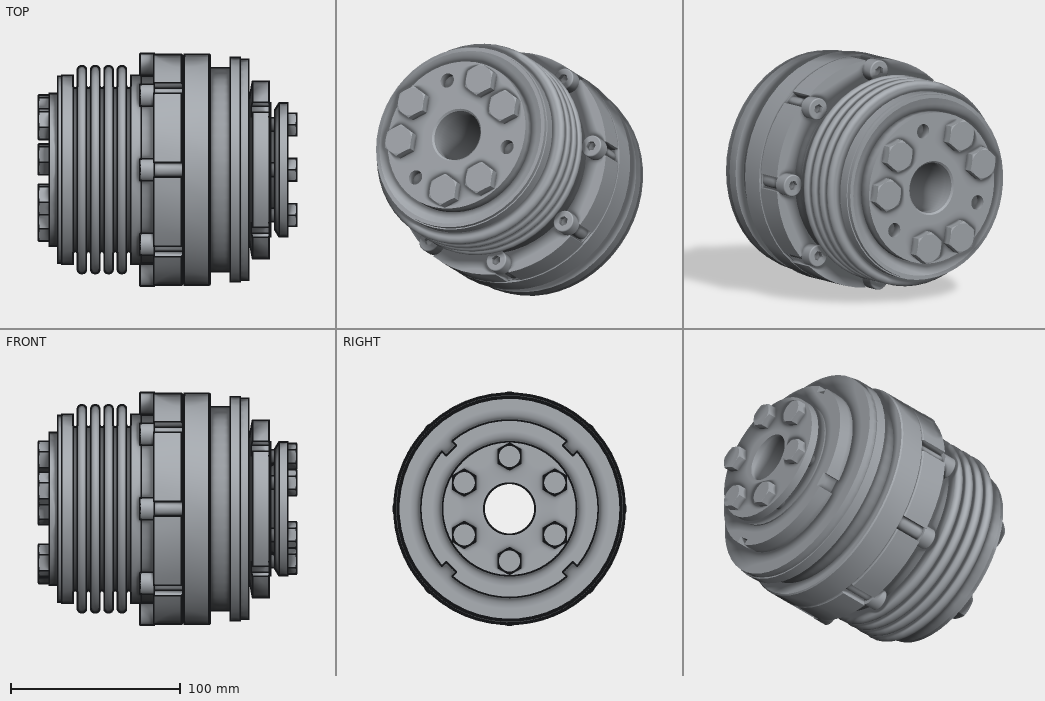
import cadquery as cq
import math


hub_plate_start = 6.4
end_ring_start = 11.4
end_ring_shoulder = 14.0
bellows_start = 20.5
bellows_end = 54.5
mount_ring_step = 60.5
body_start = 67.9
body_end = 85.1
pressure_ring_start = 86.0
pressure_ring_end = 101.2
flange_start = 113.0
flange_step = 119.0
flange_end = 124.0
nut_rim_start = 126.2
nut_end = 135.9
nut_face_end = 136.8
clamp_disc_start = 139.1
clamp_cone_end = 141.9
clamp_disc_end = 146.9
overall_length = 152.2

bore_radius = 30.0 / 2
bore_chamfer = 1.0
hub_plate_radius = 90.0 / 2
recess_mouth_radius = 52.8
recess_floor_start = 14.5
end_ring_front_radius = 110.0 / 2
end_ring_radius = 55.7
mount_ring_radius = 55.7
mount_ring_step_radius = 55.1
body_radius = 68.0
edge_chamfer = 0.8
gap_radius = 66.7
bearing_radius = 60.1
flange_radius = 66.0
flange_step_radius = 65.1
nut_cone_radius = 82.8 / 2
nut_radius = 52.2
nut_face_radius = 39.4
neck_radius = 25.5
neck_fillet = clamp_disc_start - nut_face_end
clamp_cone_radius = 70 / 2
clamp_disc_radius = 39.4

fold_count = 4
fold_width = 5.3
fold_tip_radius = 61.2
valley_bottom_radius = 48.1
valley_width = (bellows_end - bellows_start - fold_count * fold_width) / (fold_count + 1)

hub_bolt_circle_radius = 70 / 2
hub_position_count = 9
hub_hole_every = 3
hub_first_hole_angle = 80
hub_bolt_across_corners = 19.3
hub_bolt_hex_angle = 40
hub_hole_diameter = 8.7
hub_hole_depth = 6.1

socket_screw_count = 8
head_diameter = 13.0
head_start = 59.8
head_fillet = 0.8
socket_circle_radius = 68.5 - head_diameter / 2
socket_across_corners = 6.1
socket_depth = 3
socket_drill_depth = 1.8
shank_diameter = 8.0
body_slot_width = 8.7

nut_slot_count = 4
nut_slot_width = 8.5
nut_slot_floor_radius = 48.4

clamp_bolt_count = 6
clamp_bolt_circle_radius = 30.7
clamp_bolt_across_corners = 15.5
clamp_bolt_first_angle = 30

overlap = 0.3


def polar(radius, angle):
    """(Y, Z) point at a radius and an angle in degrees measured from +Y towards +Z."""
    turn = math.radians(angle)
    return radius * math.cos(turn), radius * math.sin(turn)


def axial_plane(x, angle=0):
    """Plane normal to +X at station x, whose local axes are Y and Z turned by an angle."""
    turn = math.radians(angle)
    return cq.Plane(origin=(x, 0, 0), xDir=(0, math.cos(turn), math.sin(turn)), normal=(1, 0, 0))


def cylinder(start, end, radius, center=(0, 0)):
    return cq.Workplane(axial_plane(start)).center(*center).circle(radius).extrude(end - start)


def revolve(profile):
    return profile.close().revolve(360, (0, 0, 0), (1, 0, 0))


def turned_core():
    """All turned parts as one stack, with the bellows folds between the two end rings."""
    half_fold = fold_width / 2
    half_valley = valley_width / 2
    valley_edge = valley_bottom_radius + half_valley
    crest_edge = fold_tip_radius - half_fold

    profile = (
        cq.Workplane("XY")
        .moveTo(hub_plate_start, 0)
        .lineTo(hub_plate_start, hub_plate_radius)
        .lineTo(recess_floor_start, hub_plate_radius)
        .lineTo(end_ring_start, recess_mouth_radius)
        .lineTo(end_ring_start, end_ring_front_radius)
        .lineTo(end_ring_shoulder, end_ring_front_radius)
        .lineTo(end_ring_shoulder, end_ring_radius)
        .lineTo(bellows_start, end_ring_radius)
        .lineTo(bellows_start, valley_edge)
    )
    x = bellows_start
    for _ in range(fold_count):
        fold_start = x + valley_width
        fold_end = fold_start + fold_width
        profile = (
            profile
            .threePointArc((x + half_valley, valley_bottom_radius), (fold_start, valley_edge))
            .lineTo(fold_start, crest_edge)
            .threePointArc((fold_start + half_fold, fold_tip_radius), (fold_end, crest_edge))
            .lineTo(fold_end, valley_edge)
        )
        x = fold_end
    profile = (
        profile
        .threePointArc((x + half_valley, valley_bottom_radius), (bellows_end, valley_edge))
        .lineTo(bellows_end, mount_ring_radius)
        .lineTo(mount_ring_step, mount_ring_radius)
        .lineTo(mount_ring_step, mount_ring_step_radius)
        .lineTo(body_start, mount_ring_step_radius)
        .lineTo(body_start, body_radius)
        .lineTo(body_end - edge_chamfer, body_radius)
        .lineTo(body_end, body_radius - edge_chamfer)
        .lineTo(body_end, gap_radius)
        .lineTo(pressure_ring_start, gap_radius)
        .lineTo(pressure_ring_start, body_radius)
        .lineTo(pressure_ring_end - edge_chamfer, body_radius)
        .lineTo(pressure_ring_end, body_radius - edge_chamfer)
        .lineTo(pressure_ring_end, bearing_radius)
        .lineTo(flange_start, bearing_radius)
        .lineTo(flange_start, flange_radius)
        .lineTo(flange_step, flange_radius)
        .lineTo(flange_step, flange_step_radius)
        .lineTo(flange_end, flange_step_radius)
        .lineTo(flange_end, nut_cone_radius)
        .lineTo(nut_rim_start, nut_radius)
        .lineTo(nut_end, nut_radius)
        .lineTo(nut_end, nut_face_radius)
        .lineTo(nut_face_end, nut_face_radius)
        .lineTo(nut_face_end, neck_radius)
        .radiusArc((clamp_disc_start, neck_radius + neck_fillet), -neck_fillet)
        .lineTo(clamp_disc_start, clamp_cone_radius)
        .lineTo(clamp_cone_end, clamp_disc_radius)
        .lineTo(clamp_disc_end, clamp_disc_radius)
        .lineTo(clamp_disc_end, 0)
    )
    return revolve(profile)


def radial_slots(count, first_angle, start, end, width, floor_radius):
    """Cutters for axial slots, open outwards, equally spaced around the axis."""
    outer_radius = body_radius + 1.5
    cutters = cq.Workplane("XY")
    for i in range(count):
        cutters = cutters.add(
            cq.Workplane(axial_plane(start, first_angle + i * 360 / count))
            .center((floor_radius + outer_radius) / 2, 0)
            .rect(outer_radius - floor_radius, width)
            .extrude(end - start)
        )
    return cutters.combine()


def hex_head(base, tip, across_corners, center, corner_angle):
    """Hexagon head whose corners are bevelled at the tip; it sits slightly inside its base."""
    direction = 1 if tip > base else -1
    height = abs(tip - base) + overlap
    across_flats = across_corners * math.cos(math.pi / 6)
    bevel = (across_corners - across_flats) / 2
    plane = cq.Plane(
        origin=(base - direction * overlap, *center), xDir=(0, 1, 0), normal=(direction, 0, 0)
    )
    prism = (
        cq.Workplane(plane)
        .transformed(rotate=(0, 0, direction * corner_angle))
        .polygon(6, across_corners)
        .extrude(height)
    )
    bevel_cone = (
        cq.Workplane(plane)
        .circle(across_corners / 2 + overlap)
        .extrude(height)
        .faces(">X" if direction > 0 else "<X")
        .chamfer(bevel / 2, bevel + overlap)
    )
    return prism.intersect(bevel_cone)


def socket_screw(angle):
    """Cap screw with a hexagon socket, its shank lying in a slot of the body."""
    center = polar(socket_circle_radius, angle)
    head = cylinder(head_start, body_start + overlap, head_diameter / 2, center)
    head = head.faces("<X").edges().fillet(head_fillet)
    shank = cylinder(body_start, pressure_ring_start + overlap, shank_diameter / 2, center)
    return head.union(shank)


def socket_recess(angle):
    """Cutter for a hexagon socket with a conical drill point at its floor."""
    socket = (
        cq.Workplane(axial_plane(head_start, angle))
        .center(socket_circle_radius, 0)
        .polygon(6, socket_across_corners)
        .extrude(socket_depth)
    )
    drill_point = cq.Workplane(cq.Solid.makeCone(
        socket_across_corners * math.cos(math.pi / 6) / 2,
        0,
        socket_drill_depth,
        pnt=cq.Vector(head_start + socket_depth, *polar(socket_circle_radius, angle)),
        dir=cq.Vector(1, 0, 0),
    ))
    return socket.union(drill_point)


result = turned_core()

result = result.cut(radial_slots(
    socket_screw_count, 0, body_start, body_end, body_slot_width, socket_circle_radius
))
result = result.cut(radial_slots(
    nut_slot_count, 45, flange_end, nut_end, nut_slot_width, nut_slot_floor_radius
))

for i in range(socket_screw_count):
    screw_angle = i * 360 / socket_screw_count
    result = result.union(socket_screw(screw_angle)).cut(socket_recess(screw_angle))

for i in range(hub_position_count):
    position = polar(hub_bolt_circle_radius, hub_first_hole_angle + i * 360 / hub_position_count)
    if i % hub_hole_every == 0:
        hole_end = hub_plate_start + hub_hole_depth
        result = result.cut(cylinder(hub_plate_start, hole_end, hub_hole_diameter / 2, position))
    else:
        result = result.union(
            hex_head(hub_plate_start, 0, hub_bolt_across_corners, position, hub_bolt_hex_angle)
        )

for i in range(clamp_bolt_count):
    position = polar(
        clamp_bolt_circle_radius, clamp_bolt_first_angle + i * 360 / clamp_bolt_count
    )
    shank = cylinder(
        nut_face_end - overlap, clamp_disc_start + overlap, shank_diameter / 2, position
    )
    result = result.union(shank).union(
        hex_head(clamp_disc_end, overall_length, clamp_bolt_across_corners, position, 90)
    )

bore_mouth_end = hub_plate_start + bore_chamfer
result = result.cut(revolve(
    cq.Workplane("XY")
    .moveTo(hub_plate_start, 0)
    .lineTo(hub_plate_start, bore_radius + bore_chamfer)
    .lineTo(bore_mouth_end, bore_radius)
    .lineTo(clamp_disc_end, bore_radius)
    .lineTo(clamp_disc_end, 0)
))